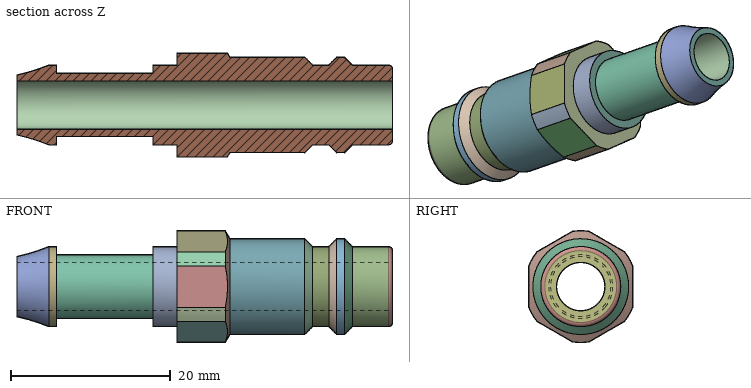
import cadquery as cq
import math

total_length = 47.0
barb_cone_end = 4.0
barb_end = 5.0
collar_start = 17.0
hex_start = 20.0
hex_end = 26.65
shoulder_end = 36.0
rib_groove_start = 39.0
rib_width = 1.0

bore_diameter = 6.0
barb_tip_diameter = 7.5
stem_diameter = 8.0
neck_diameter = 10.0
barrel_diameter = 12.0

hex_across_flats = 13.0
hex_corner_diameter = 14.0
hex_chamfer_angle = 30.0

barb_hollow = 0.1
plug_fillet = 0.5

tip_radius = barb_tip_diameter / 2
stem_radius = stem_diameter / 2
neck_radius = neck_diameter / 2
barrel_radius = barrel_diameter / 2
flank = barrel_radius - neck_radius


def make_turned_body():
    """Barb, stem, collar, barrel, locking rib and plug end as one revolved profile."""
    flank_middle = (barb_cone_end / 2, (tip_radius + neck_radius) / 2 - barb_hollow)
    rib_start = rib_groove_start + flank
    rib_end = rib_start + rib_width
    profile = (
        cq.Workplane("XY")
        .lineTo(0, tip_radius)
        .threePointArc(flank_middle, (barb_cone_end, neck_radius))
        .lineTo(barb_end, neck_radius)
        .lineTo(barb_end, stem_radius)
        .lineTo(collar_start, stem_radius)
        .lineTo(collar_start, neck_radius)
        .lineTo(hex_start, neck_radius)
        .lineTo(hex_start, barrel_radius)
        .lineTo(shoulder_end, barrel_radius)
        .lineTo(shoulder_end + flank, neck_radius)
        .lineTo(rib_groove_start, neck_radius)
        .lineTo(rib_start, barrel_radius)
        .lineTo(rib_end, barrel_radius)
        .lineTo(rib_end + flank, neck_radius)
        .lineTo(total_length, neck_radius)
        .lineTo(total_length, 0)
        .close()
    )
    body = profile.revolve(360, (0, 0, 0), (1, 0, 0))
    return body.faces(">X").edges().fillet(plug_fillet)


def make_hexagon():
    """Wrench hexagon, flats facing +Y and -Y, with turned corners and a conical chamfer towards the barrel."""
    corner_radius = hex_corner_diameter / 2
    chamfer_length = (corner_radius - barrel_radius) * math.tan(math.radians(hex_chamfer_angle))
    prism = (
        cq.Workplane("YZ", origin=(hex_start, 0, 0))
        .polygon(6, hex_across_flats, circumscribed=True)
        .extrude(hex_end - hex_start)
    )
    turned_envelope = (
        cq.Workplane("XY")
        .moveTo(hex_start, 0)
        .lineTo(hex_start, corner_radius)
        .lineTo(hex_end - chamfer_length, corner_radius)
        .lineTo(hex_end, barrel_radius)
        .lineTo(hex_end, 0)
        .close()
        .revolve(360, (0, 0, 0), (1, 0, 0))
    )
    return prism.intersect(turned_envelope)


bore = cq.Workplane("YZ").circle(bore_diameter / 2).extrude(total_length)

result = make_turned_body().union(make_hexagon()).cut(bore)